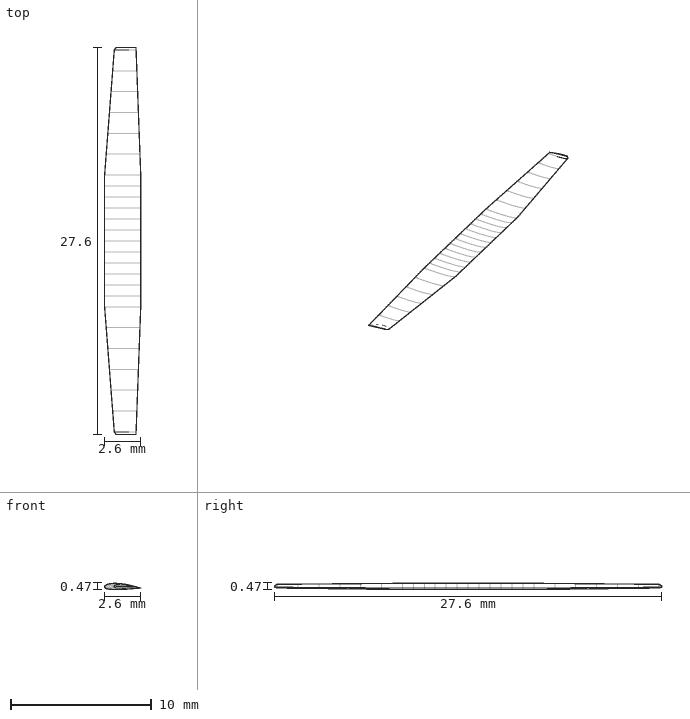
import cadquery as cq
import math

span = 27.55
half_centre_span = 4.68
tip_bevel_length = 0.2
centre_bays = 12
outer_bays = 6

root_chord = 2.6
tip_chord = 1.57
tip_sweep = 0.7
tip_rise = 0.03
end_setback = 0.15
end_thickness_factor = 0.25

thickness = 0.18
camber = 0.022
camber_position = 0.4
incidence = math.radians(2)
points_per_side = 12

half_span = span / 2
taper_end = half_span - tip_bevel_length


def camber_height(x):
    """Height of the parabolic camber line at chord fraction x."""
    if x < camber_position:
        length = camber_position
    else:
        length = 1 - camber_position
    return camber * (1 - ((x - camber_position) / length) ** 2)


def half_thickness(x, thickness_ratio):
    """NACA four-digit half thickness at chord fraction x."""
    polynomial = 0.2969 * math.sqrt(x) - 0.126 * x - 0.3516 * x**2 + 0.2843 * x**3 - 0.1015 * x**4
    return 5 * thickness_ratio * polynomial


def airfoil(y, leading_edge, rise, chord, thickness_ratio):
    """Closed airfoil wire at span position y, with a blunt trailing edge."""

    def place(x, side):
        z = camber_height(x) + side * half_thickness(x, thickness_ratio)
        x_turned = x * math.cos(incidence) + z * math.sin(incidence)
        z_turned = z * math.cos(incidence) - x * math.sin(incidence)
        return cq.Vector(leading_edge + chord * x_turned, y, rise + chord * z_turned)

    stations = [(1 - math.cos(math.pi * i / points_per_side)) / 2 for i in range(points_per_side + 1)]
    upper = [place(x, 1) for x in reversed(stations)]
    lower = [place(x, -1) for x in stations[1:]]
    surface = cq.Edge.makeSpline(upper + lower)
    trailing_edge = cq.Edge.makeLine(lower[-1], upper[0])
    return cq.Wire.assembleEdges([surface, trailing_edge])


def wing_section(y):
    """Section of the centre or tapered panel at span position y."""
    taper = max(0, (abs(y) - half_centre_span) / (taper_end - half_centre_span))
    chord = root_chord + taper * (tip_chord - root_chord)
    return airfoil(y, taper * tip_sweep, taper * tip_rise, chord, thickness)


def end_section(y):
    """Thin end face of the tip bevel, set back at the nose only."""
    leading_edge = tip_sweep + end_setback
    return airfoil(y, leading_edge, tip_rise, tip_chord - end_setback, thickness * end_thickness_factor)


centre_bay = 2 * half_centre_span / centre_bays
outer_bay = (taper_end - half_centre_span) / outer_bays
centre_positions = [-half_centre_span + i * centre_bay for i in range(centre_bays + 1)]
right_positions = [half_centre_span + i * outer_bay for i in range(1, outer_bays + 1)]
left_positions = [-y for y in reversed(right_positions)]

sections = [end_section(-half_span)]
for position in left_positions + centre_positions + right_positions:
    sections.append(wing_section(position))
sections.append(end_section(half_span))

result = cq.Workplane(obj=cq.Solid.makeLoft(sections, True))